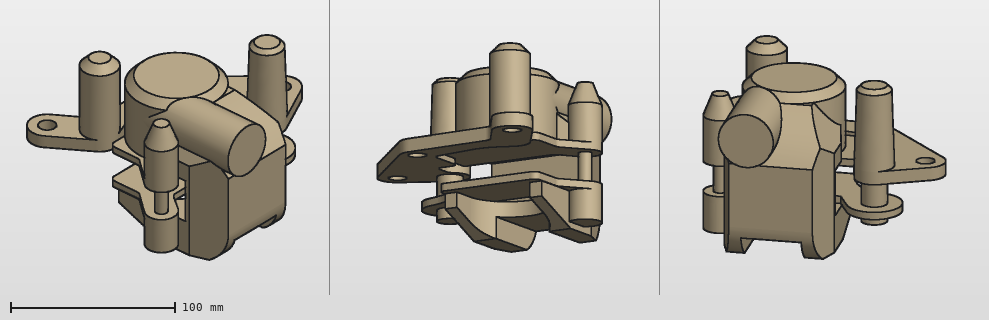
import cadquery as cq
import math


PLATE_TOP = 8.4
BRACKET_THICKNESS = 4.7
LOWER_BRACKET_TOP = -16.0
LOWER_BRACKET_BOTTOM = LOWER_BRACKET_TOP - BRACKET_THICKNESS
PISTON_TOP = 51.9
PIN_TOP = 60.2
BODY_BOTTOM = -44.0

PISTON_RADIUS = 31.5
PISTON_CHAMFER = 5.5
PORT_RADIUS = 17.1
PORT_END_X = 70.5
PORT_Y = PORT_RADIUS - PISTON_RADIUS
PORT_Z = PISTON_TOP - PORT_RADIUS

LUG_RADIUS = 12.4
SHOULDER_CENTER = (-35.5, 40.9)
HOLE_RADIUS = 5.6
TOP_HOLE = (10.4, 84.3)
SIDE_HOLE = (-37.4, 41.4)
ARM_HOLE = (-66.4, -43.7)
PISTON_CLEARANCE_RADIUS = 33.7
CORNER_RADIUS = 4.1
ELBOW_RADIUS = 6.4
ELBOW_CENTER = (-56.6, -14.8)
SLOT_END_X = -29.3
TONGUE_X = -0.8
NOTCH_Y = 49.9

ARM_PIN = (-39.5, -25.8)
ARM_PIN_CHAMFER = 5.5
REAR_PIN = (24.3, 55.4)
REAR_PIN_TIP_RADIUS = 10.8
REAR_PIN_CHAMFER = 2.9
REAR_SHAFT_RADIUS = 8.1
REAR_SHAFT_BOTTOM = -27.6
FRONT_PIN = (24.3, -40.6)
FRONT_PIN_RADIUS = 10.4
FRONT_SHAFT_RADIUS = 4.1
FRONT_PIN_BOTTOM = -39.8
FRONT_CONE_BOTTOM = 33.1
FRONT_CONE_TOP = 47.0
FRONT_CONE_TIP_RADIUS = 4.9

BRACKET_LEFT = -23.2
BRACKET_RIGHT = 17.7
BRACKET_HALF_WIDTH = 34.8
UPPER_BRACKET_REAR = 41.4
TAB_ROOT_X = -0.6
TAB_SLOPE = math.atan2(3, 4)
EAR_RADIUS = 17.3
EAR_ROOT_Y = 33.0
NECK_RADIUS = 24.9
NECK_CENTER_X = -18.3

BODY_HALF_WIDTH = 34.4
BODY_LEFT = -16.3
BODY_RIGHT = 66.0
WEB_INNER_X = 38.3
NOSE_X = 7.2
SHOULDER_X = 22.0
TAPER_START_X = 41.5
TAPER_END_HALF_WIDTH = 26.1
BODY_TOP = PISTON_TOP - PISTON_CHAMFER
ROOF_HALF_WIDTH = 18.0
EAVES_Z = 20.3
CROWN_END_Z = 17.7
CROWN_MID = (50.8, 34.8)
HEEL_START_Z = -23.2
HEEL_RADIUS = 24.1
TOE_Z = -30.2
TOE_END_X = 17.5
RECESS_RADIUS = PISTON_RADIUS - PISTON_CHAMFER
SLOT_HALF_WIDTH = 18.8
SLOT_TOP = -30.4

TOUCHING = 1.53e-06


def tangent_outline(circles):
    """Closed counterclockwise outline around circles (center, radius) joined by tangent lines.

    A positive radius gives a convex arc, a negative one a concave arc, and zero a sharp corner.
    """
    normals = []
    for i, ((x0, y0), r0) in enumerate(circles):
        (x1, y1), r1 = circles[(i + 1) % len(circles)]
        cosine = (r0 - r1) / math.hypot(x1 - x0, y1 - y0)
        heading = math.atan2(y1 - y0, x1 - x0)
        normals.append(heading - math.acos(max(-1.0, min(1.0, cosine))))

    def point_on(circle, angle):
        (x, y), radius = circle
        return cq.Vector(x + radius * math.cos(angle), y + radius * math.sin(angle), 0)

    edges = []
    for i, circle in enumerate(circles):
        before = normals[i - 1]
        after = normals[i]
        end = point_on(circle, after)
        if circle[1] != 0:
            way = math.copysign(1, circle[1])
            turn = way * ((way * (after - before)) % (2 * math.pi))
            start = point_on(circle, before)
            middle = point_on(circle, before + turn / 2)
            edges.append(cq.Edge.makeThreePointArc(start, middle, end))
        next_start = point_on(circles[(i + 1) % len(circles)], after)
        if (next_start - end).Length > TOUCHING:
            edges.append(cq.Edge.makeLine(end, next_start))
    return cq.Wire.assembleEdges(edges)


def slab(circles, bottom, thickness):
    outline = tangent_outline(circles)
    return cq.Workplane("XY").add(outline).toPending().extrude(thickness).translate((0, 0, bottom))


def turned(center, profile):
    """Solid of revolution about the vertical axis through center, from (radius, z) points."""
    points = [(0, profile[0][1])] + profile + [(0, profile[-1][1])]
    return cq.Workplane("XZ").polyline(points).close().revolve().translate((*center, 0))


def carrier_plate():
    fillet_y = NOTCH_Y - CORNER_RADIUS
    pin_fillet_reach = LUG_RADIUS + CORNER_RADIUS
    pin_fillet_x = REAR_PIN[0] - math.sqrt(pin_fillet_reach**2 - (REAR_PIN[1] - fillet_y) ** 2)
    plate = slab(
        [
            (ARM_HOLE, LUG_RADIUS),
            (ARM_PIN, LUG_RADIUS),
            ((0, 0), -PISTON_CLEARANCE_RADIUS),
            ((SLOT_END_X + CORNER_RADIUS, BRACKET_HALF_WIDTH - CORNER_RADIUS), -CORNER_RADIUS),
            ((TONGUE_X - CORNER_RADIUS, BRACKET_HALF_WIDTH + CORNER_RADIUS), CORNER_RADIUS),
            ((TONGUE_X + CORNER_RADIUS, fillet_y), -CORNER_RADIUS),
            ((pin_fillet_x, fillet_y), -CORNER_RADIUS),
            (REAR_PIN, LUG_RADIUS),
            (TOP_HOLE, LUG_RADIUS),
            (SHOULDER_CENTER, LUG_RADIUS),
            (ELBOW_CENTER, -ELBOW_RADIUS),
        ],
        0,
        PLATE_TOP,
    )
    holes = cq.Workplane("XY").pushPoints([TOP_HOLE, SIDE_HOLE, ARM_HOLE])
    return plate.cut(holes.circle(HOLE_RADIUS).extrude(PLATE_TOP))


def bracket(bottom, rear_right):
    """Bracket with a slanted tab at the front pin; rear_right shapes its rear right part."""
    corner_x = BRACKET_LEFT + CORNER_RADIUS
    corner_y = BRACKET_HALF_WIDTH - CORNER_RADIUS
    fillet_x = BRACKET_RIGHT + CORNER_RADIUS
    fillet_offset = FRONT_PIN_RADIUS + CORNER_RADIUS
    fillet_y = (
        FRONT_PIN[1]
        + fillet_offset / math.cos(TAB_SLOPE)
        - (fillet_x - FRONT_PIN[0]) * math.tan(TAB_SLOPE)
    )
    outline = [
        ((corner_x, -corner_y), CORNER_RADIUS),
        ((TAB_ROOT_X, -BRACKET_HALF_WIDTH - CORNER_RADIUS), -CORNER_RADIUS),
        (FRONT_PIN, FRONT_PIN_RADIUS),
        ((fillet_x, fillet_y), -CORNER_RADIUS),
        *rear_right,
        ((NECK_CENTER_X, BRACKET_HALF_WIDTH + NECK_RADIUS), -NECK_RADIUS),
        ((corner_x, corner_y), CORNER_RADIUS),
    ]
    return slab(outline, bottom, BRACKET_THICKNESS)


def brackets():
    neck_drop = BRACKET_HALF_WIDTH + NECK_RADIUS - UPPER_BRACKET_REAR
    neck_x = NECK_CENTER_X + math.sqrt(NECK_RADIUS**2 - neck_drop**2)
    straight_rear = [
        ((BRACKET_RIGHT, UPPER_BRACKET_REAR), 0),
        ((neck_x, UPPER_BRACKET_REAR), 0),
    ]
    pin_ear = [
        ((BRACKET_RIGHT, EAR_ROOT_Y), 0),
        (REAR_PIN, EAR_RADIUS),
    ]
    upper = bracket(PLATE_TOP - BRACKET_THICKNESS, straight_rear)
    lower = bracket(LOWER_BRACKET_BOTTOM, pin_ear)
    return upper.union(lower)


def guide_pins():
    arm_pin = turned(
        ARM_PIN,
        [
            (LUG_RADIUS, PLATE_TOP),
            (LUG_RADIUS, PIN_TOP - ARM_PIN_CHAMFER),
            (LUG_RADIUS - ARM_PIN_CHAMFER, PIN_TOP),
        ],
    )
    rear_pin = turned(
        REAR_PIN,
        [
            (REAR_SHAFT_RADIUS, REAR_SHAFT_BOTTOM),
            (REAR_SHAFT_RADIUS, PLATE_TOP),
            (LUG_RADIUS, PLATE_TOP),
            (REAR_PIN_TIP_RADIUS, PIN_TOP - REAR_PIN_CHAMFER),
            (REAR_PIN_TIP_RADIUS - REAR_PIN_CHAMFER, PIN_TOP),
        ],
    )
    front_pin = turned(
        FRONT_PIN,
        [
            (FRONT_PIN_RADIUS, PLATE_TOP),
            (FRONT_PIN_RADIUS, FRONT_CONE_BOTTOM),
            (FRONT_CONE_TIP_RADIUS, FRONT_CONE_TOP),
        ],
    )
    front_shaft = turned(
        FRONT_PIN,
        [
            (FRONT_SHAFT_RADIUS, LOWER_BRACKET_TOP),
            (FRONT_SHAFT_RADIUS, PLATE_TOP - BRACKET_THICKNESS),
        ],
    )
    front_foot = turned(
        FRONT_PIN,
        [
            (FRONT_PIN_RADIUS, FRONT_PIN_BOTTOM),
            (FRONT_PIN_RADIUS, LOWER_BRACKET_BOTTOM),
        ],
    )
    return [arm_pin, rear_pin, front_pin, front_shaft, front_foot]


def piston_housing():
    housing = turned(
        (0, 0),
        [
            (PISTON_RADIUS, PLATE_TOP),
            (PISTON_RADIUS, BODY_TOP),
            (PISTON_RADIUS - PISTON_CHAMFER, PISTON_TOP),
        ],
    )
    port = cq.Workplane("YZ").center(PORT_Y, PORT_Z).circle(PORT_RADIUS).extrude(PORT_END_X)
    return housing.union(port)


def plan_prism(left_points, bottom, top):
    """Prism symmetric about Y = 0: left_points on its rear side, then the tapered right end."""
    rear = left_points + [(TAPER_START_X, BODY_HALF_WIDTH), (BODY_RIGHT, TAPER_END_HALF_WIDTH)]
    front = [(x, -y) for x, y in reversed(rear)]
    plan = cq.Workplane("XY", origin=(0, 0, bottom)).polyline(rear + front).close()
    return plan.extrude(top - bottom)


def caliper_body():
    nose = (NOSE_X, math.sqrt(PISTON_RADIUS**2 - NOSE_X**2))
    upper = plan_prism([nose, (SHOULDER_X, BODY_HALF_WIDTH)], PLATE_TOP, BODY_TOP)
    lower = plan_prism([(BODY_LEFT, BODY_HALF_WIDTH)], BODY_BOTTOM, PLATE_TOP)
    blank = upper.union(lower)

    heel_center_x = BODY_RIGHT - HEEL_RADIUS
    heel_sweep = math.asin((HEEL_START_Z - BODY_BOTTOM) / HEEL_RADIUS)
    heel_end_x = heel_center_x + HEEL_RADIUS * math.cos(heel_sweep)
    heel_mid = (
        heel_center_x + HEEL_RADIUS * math.cos(heel_sweep / 2),
        HEEL_START_Z - HEEL_RADIUS * math.sin(heel_sweep / 2),
    )
    side = (
        cq.Workplane("XZ")
        .moveTo(BODY_LEFT, LOWER_BRACKET_BOTTOM)
        .lineTo(WEB_INNER_X, LOWER_BRACKET_BOTTOM)
        .lineTo(WEB_INNER_X, PLATE_TOP)
        .lineTo(0, PLATE_TOP)
        .lineTo(0, BODY_TOP)
        .lineTo(PISTON_RADIUS, BODY_TOP)
        .threePointArc(CROWN_MID, (BODY_RIGHT, CROWN_END_Z))
        .lineTo(BODY_RIGHT, HEEL_START_Z)
        .threePointArc(heel_mid, (heel_end_x, BODY_BOTTOM))
        .lineTo(TOE_END_X, BODY_BOTTOM)
        .lineTo(BODY_LEFT, TOE_Z)
        .close()
        .extrude(BODY_HALF_WIDTH, both=True)
    )

    roof_rear = [
        (BODY_HALF_WIDTH, BODY_BOTTOM),
        (BODY_HALF_WIDTH, EAVES_Z),
        (ROOF_HALF_WIDTH, BODY_TOP),
    ]
    roof_front = [(-y, z) for y, z in reversed(roof_rear)]
    length = BODY_RIGHT - BODY_LEFT
    end_plane = cq.Workplane("YZ", origin=(BODY_LEFT, 0, 0))
    roof = end_plane.polyline(roof_rear + roof_front).close().extrude(length)
    body = blank.intersect(side).intersect(roof)

    depth = LOWER_BRACKET_BOTTOM - BODY_BOTTOM
    floor = cq.Workplane("XY", origin=(0, 0, BODY_BOTTOM))
    round_end = floor.circle(RECESS_RADIUS).extrude(depth)
    mouth = floor.center(BODY_LEFT / 2, 0).rect(-BODY_LEFT, 2 * RECESS_RADIUS).extrude(depth)
    slot = floor.rect(2 * BODY_RIGHT, 2 * SLOT_HALF_WIDTH).extrude(SLOT_TOP - BODY_BOTTOM)
    return body.cut(round_end).cut(mouth).cut(slot)


result = carrier_plate().union(brackets()).union(piston_housing()).union(caliper_body())
for pin in guide_pins():
    result = result.union(pin, clean=False)